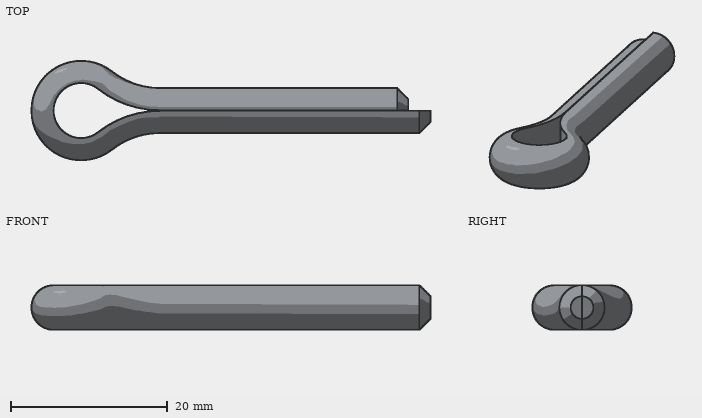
import cadquery as cq
import math

eye_outer_radius = 6.35
wire_radius = 2.855
leg_gap = 0.05
leg_start_x = 10.0
long_leg_end_x = 44.54
leg_length_difference = wire_radius
tip_chamfer = wire_radius / 2

eye_inner_radius = eye_outer_radius - wire_radius
leg_face_y = leg_gap / 2

face_rise = eye_inner_radius - leg_face_y
bend_centre_distance = (leg_start_x**2 + face_rise**2) / (2 * face_rise)
bend_radius = bend_centre_distance - eye_inner_radius
bend_centre_y = leg_face_y + bend_radius
eye_end_angle = math.atan2(bend_centre_y, leg_start_x)
mid_bend_angle = (eye_end_angle - math.pi / 2) / 2 - math.pi / 2


def half_disc(side):
    """Wire section at the leg start, on the +Y (side = 1) or -Y (side = -1) leg."""
    face_y = side * leg_face_y
    return (
        cq.Workplane("YZ", origin=(leg_start_x, 0, 0))
        .moveTo(face_y, -wire_radius)
        .threePointArc((face_y + side * wire_radius, 0), (face_y, wire_radius))
        .close()
    )


def make_leg(side, end_x):
    """Straight leg with a conical chamfer round its tip."""
    leg = half_disc(side).extrude(end_x - leg_start_x)
    return leg.faces(">X").edges("%CIRCLE").chamfer(tip_chamfer)


def make_loop():
    """Eye and both bends, swept in one run from the +Y leg to the -Y leg."""
    eye_end_x = eye_inner_radius * math.cos(eye_end_angle)
    eye_end_y = eye_inner_radius * math.sin(eye_end_angle)
    mid_bend_x = leg_start_x + bend_radius * math.cos(mid_bend_angle)
    mid_bend_y = bend_centre_y + bend_radius * math.sin(mid_bend_angle)
    path = (
        cq.Workplane("XY")
        .moveTo(leg_start_x, leg_face_y)
        .threePointArc((mid_bend_x, mid_bend_y), (eye_end_x, eye_end_y))
        .threePointArc((-eye_inner_radius, 0), (eye_end_x, -eye_end_y))
        .threePointArc((mid_bend_x, -mid_bend_y), (leg_start_x, -leg_face_y))
    )
    return half_disc(1).sweep(path)


short_leg = make_leg(1, long_leg_end_x - leg_length_difference)
long_leg = make_leg(-1, long_leg_end_x)
result = make_loop().union(short_leg).union(long_leg)